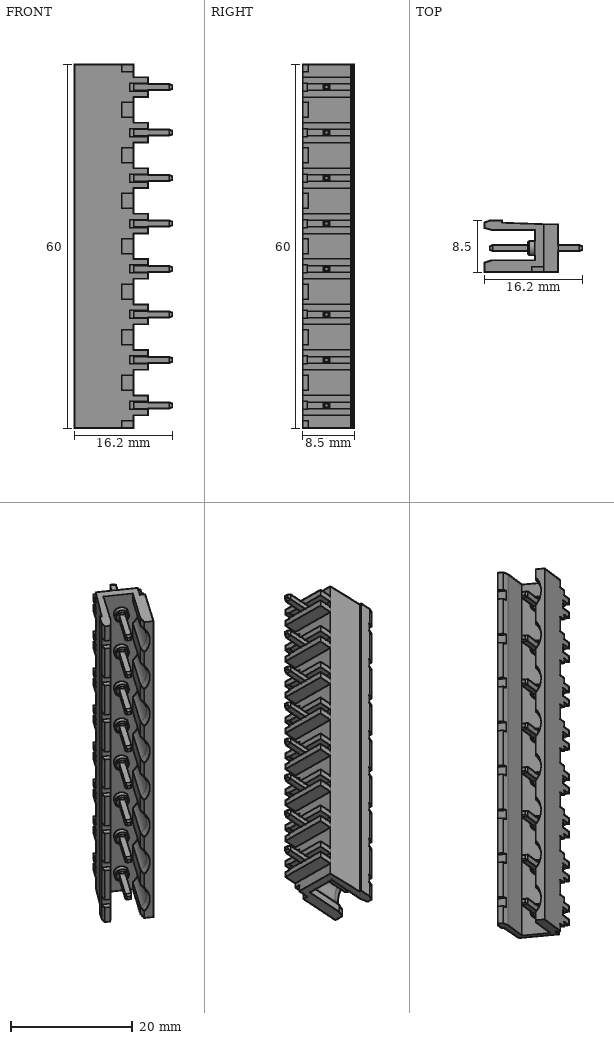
import cadquery as cq

pin_count = 8
pitch = 7.5
length = pin_count * pitch
pin_heights = [(index + 0.5) * pitch for index in range(pin_count)]
pitch_borders = [index * pitch for index in range(pin_count + 1)]

base_inner_x = 8.35
base_outer_x = 9.8
plain_wall_inner_y = 2.0
plain_wall_tip_y = 1.55
plain_taper_x = 1.25
latch_wall_inner_y = 6.9
latch_tip_inner_y = 7.25
latch_taper_x = 1.4
latch_tip_outer_y = 8.15
latch_peak_y = 8.5
latch_peak_start_x = 0.9
latch_peak_end_x = 2.95
latch_wall_outer_y = 8.15
base_outer_y = 7.9

notch_depth = 0.95
notch_width = 1.55

scallop_radius = 3.0
scallop_mouth_radius = 3.35

pocket_start_x = 7.8
pocket_depth = 0.9
pocket_width = 2.5

foot_end_x = 12.2
foot_width = 3.3
recess_width = 1.3
recess_floor_x = 9.2
recess_depth = 0.8

pin_y = 3.95
pin_start_x = 0.9
pin_end_x = 16.2
pin_size = 1.0
pin_tip_size = 0.6
pin_tip_length = 0.55
collar_start_x = 7.2
collar_radius = 1.2
collar_chamfer = 0.25


def box(x_range, y_range, z_center, z_width):
    """Box between two X and two Y limits, centred at a height."""
    x_size = x_range[1] - x_range[0]
    y_size = y_range[1] - y_range[0]
    return (
        cq.Workplane("XY")
        .box(x_size, y_size, z_width, centered=(False, False, True))
        .translate((x_range[0], y_range[0], z_center))
    )


def axis_plane(x, z):
    """Plane across a pin axis, facing +X."""
    return cq.Workplane("YZ", origin=(x, pin_y, z))


def make_trough():
    """U-shaped section with a hooked lip on the latch wall."""
    return (
        cq.Workplane("XY")
        .polyline([
            (0, 0),
            (base_outer_x, 0),
            (base_outer_x, base_outer_y),
            (latch_peak_end_x, latch_wall_outer_y),
            (latch_peak_end_x, latch_peak_y),
            (latch_peak_start_x, latch_peak_y),
            (0, latch_tip_outer_y),
            (0, latch_tip_inner_y),
            (latch_taper_x, latch_wall_inner_y),
            (base_inner_x, latch_wall_inner_y),
            (base_inner_x, plain_wall_inner_y),
            (plain_taper_x, plain_wall_inner_y),
            (0, plain_wall_tip_y),
        ])
        .close()
        .extrude(length)
    )


def make_scallop(z):
    """Round clearance along a pin, flared at the mouth, cutting only the plain wall."""
    bore = axis_plane(0, z).circle(scallop_radius).extrude(base_inner_x)
    flare = (
        axis_plane(0, z)
        .circle(scallop_mouth_radius)
        .workplane(offset=plain_taper_x)
        .circle(scallop_radius)
        .loft()
    )
    plain_side = box((0, base_inner_x), (0, pin_y), z, pitch)
    return bore.union(flare).intersect(plain_side)


def make_foot(z):
    return box((base_outer_x, foot_end_x), (0, base_outer_y), z, foot_width)


def make_slot(z):
    """Pin-wide slot through the foot, with a wider and deeper recess at its front end."""
    through = box((base_outer_x, foot_end_x), (0, base_outer_y), z, pin_size)
    recess = box((recess_floor_x, foot_end_x), (0, recess_depth), z, recess_width)
    return through.union(recess)


def make_pin(z):
    tip_start_x = pin_start_x + pin_tip_length
    tip_end_x = pin_end_x - pin_tip_length
    shank = axis_plane(tip_start_x, z).rect(pin_size, pin_size).extrude(tip_end_x - tip_start_x)
    for root_x, direction in ((tip_start_x, -1), (tip_end_x, 1)):
        tip = (
            axis_plane(root_x, z)
            .rect(pin_size, pin_size)
            .workplane(offset=direction * pin_tip_length)
            .rect(pin_tip_size, pin_tip_size)
            .loft()
        )
        shank = shank.union(tip)
    collar = (
        axis_plane(collar_start_x, z)
        .circle(collar_radius)
        .extrude(base_inner_x - collar_start_x)
        .faces("<X")
        .chamfer(collar_chamfer)
    )
    return shank.union(collar)


result = make_trough()

for z in pitch_borders:
    result = result.cut(box((pocket_start_x, base_outer_x), (0, pocket_depth), z, pocket_width))

for z in pin_heights:
    lip_notch = box((0, notch_depth), (latch_wall_inner_y, latch_peak_y), z, notch_width)
    result = result.cut(lip_notch).cut(make_scallop(z))
    result = result.union(make_foot(z)).cut(make_slot(z)).union(make_pin(z))